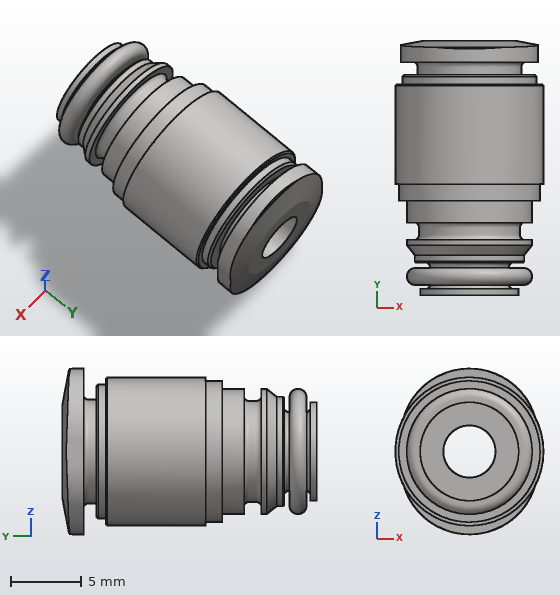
import cadquery as cq
import math

length = 18.1
bore_d = 3.7

tip_d = 7.0
ring_neck_d = 5.6
shoulder_d = 7.8
seat_d = 8.92
front_neck_d = 7.2
step_d = 10.05
body_d = 10.55
cap_d = 9.55
button_neck_d = 7.4

tip_end = 0.47
shoulder_start = 2.3
cone_start = 2.86
cone_end = 3.57
collar_end = 3.96
seat_start = 5.15
step_start = 6.72
body_start = 7.91
body_end = 14.99
cap_end = 15.7
button_start = 16.56

neck_fillet = 0.4
fillet_sweep = math.radians(60)
fillet_length = neck_fillet * math.sin(fillet_sweep)
fillet_height = neck_fillet * (1 - math.cos(fillet_sweep))
half_length = neck_fillet * math.sin(fillet_sweep / 2)
half_height = neck_fillet * (1 - math.cos(fillet_sweep / 2))

shoulder_chamfer = 0.1
body_chamfer = 0.1
cap_chamfer = 0.16

ring_center = 1.34
ring_width = 1.23

button_height = 11.8
button_width = 9.77
button_face_d = 6.59
button_cone_drop = 0.47
button_bevel = 0.1


def cylinder(diameter, start, end):
    """Cylinder along Y between two positions."""
    return cq.Workplane("XZ", origin=(0, start, 0)).circle(diameter / 2).extrude(start - end)


def back_chamfered(diameter, start, end, chamfer):
    """Cylinder along Y with a chamfer on its back rim."""
    return cylinder(diameter, start, end).faces(">Y").chamfer(chamfer)


def revolve_about_y(profile):
    return profile.close().revolve(360, (0, 0, 0), (0, 1, 0))


def neck(diameter, start, end, front_fillet=True):
    """Neck between two walls, flared by a partial fillet at the back and, if asked, the front."""
    radius = diameter / 2
    flare = radius + fillet_height
    profile = cq.Workplane("XY").moveTo(0, start)
    if front_fillet:
        profile = profile.lineTo(flare, start).threePointArc(
            (radius + half_height, start + fillet_length - half_length),
            (radius, start + fillet_length),
        )
    else:
        profile = profile.lineTo(radius, start)
    profile = (
        profile.lineTo(radius, end - fillet_length)
        .threePointArc((radius + half_height, end - fillet_length + half_length), (flare, end))
        .lineTo(0, end)
    )
    return revolve_about_y(profile)


def sealing_ring():
    """Ring with a fully rounded rim and flat sides."""
    half_width = ring_width / 2
    rim = seat_d / 2
    profile = (
        cq.Workplane("XY")
        .moveTo(0, ring_center - half_width)
        .lineTo(rim - half_width, ring_center - half_width)
        .threePointArc((rim, ring_center), (rim - half_width, ring_center + half_width))
        .lineTo(0, ring_center + half_width)
    )
    return revolve_about_y(profile)


def tapered_collar():
    """Chamfered shoulder that widens through a cone to the seat diameter."""
    profile = (
        cq.Workplane("XY")
        .moveTo(0, shoulder_start)
        .lineTo(shoulder_d / 2 - shoulder_chamfer, shoulder_start)
        .lineTo(shoulder_d / 2, shoulder_start + shoulder_chamfer)
        .lineTo(shoulder_d / 2, cone_start)
        .lineTo(seat_d / 2, cone_end)
        .lineTo(seat_d / 2, collar_end)
        .lineTo(0, collar_end)
    )
    return revolve_about_y(profile)


def release_button():
    """Oblong plate, long along Z, trimmed at the back by a shallow cone with a small rim bevel."""
    plate = (
        cq.Workplane("XZ", origin=(0, button_start, 0))
        .slot2D(button_height, button_width, 90)
        .extrude(button_start - length)
    )
    envelope = revolve_about_y(
        cq.Workplane("XY")
        .moveTo(0, button_start)
        .lineTo(button_height / 2, button_start)
        .lineTo(button_height / 2, length - button_cone_drop - button_bevel)
        .lineTo(button_height / 2 - button_bevel, length - button_cone_drop)
        .lineTo(button_face_d / 2, length)
        .lineTo(0, length)
    )
    return plate.intersect(envelope)


sections = [
    cylinder(tip_d, 0, tip_end),
    neck(ring_neck_d, tip_end, shoulder_start),
    sealing_ring(),
    tapered_collar(),
    neck(front_neck_d, collar_end, seat_start),
    cylinder(seat_d, seat_start, step_start),
    cylinder(step_d, step_start, body_start),
    back_chamfered(body_d, body_start, body_end, body_chamfer),
    back_chamfered(cap_d, body_end, cap_end, cap_chamfer),
    neck(button_neck_d, cap_end, button_start, front_fillet=False),
    release_button(),
]

result = sections[0]
for section in sections[1:]:
    result = result.union(section)
result = result.cut(cylinder(bore_d, 0, length))